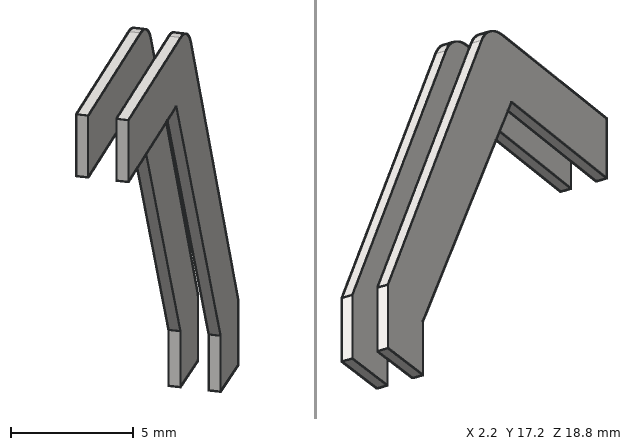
import cadquery as cq

width = 2.2
depth = 17.25
height = 18.8

plate_thickness = 0.5
plate_count = 2
plate_pitch = (width - plate_thickness) / (plate_count - 1)

band_width = 2.78
outer_knee_height = 2.95
inner_knee_height = 2.58
foot_rise = 0.05
top_length = 9.36
underside_length = 7.52
shoulder_radius = 1.85

arm_end = -depth / 2
leg_back = depth / 2
leg_front = leg_back - band_width
arm_bottom = height - band_width


def make_plate(center_x):
    """Bent flat plate with its profile in the YZ plane and a rounded upper shoulder."""
    outline = [
        (leg_back, 0),
        (leg_back, outer_knee_height),
        (arm_end + top_length, height),
        (arm_end, height),
        (arm_end, arm_bottom),
        (arm_end + underside_length, arm_bottom),
        (leg_front, inner_knee_height),
        (leg_front, foot_rise),
    ]
    blank = (
        cq.Workplane("YZ", origin=(center_x - plate_thickness / 2, 0, 0))
        .polyline(outline)
        .close()
        .extrude(plate_thickness)
    )
    return blank.faces(">Z").edges(">Y").fillet(shoulder_radius)


plates = []
for index in range(plate_count):
    center_x = (index - (plate_count - 1) / 2) * plate_pitch
    plates.append(make_plate(center_x).val())

result = cq.Compound.makeCompound(plates)